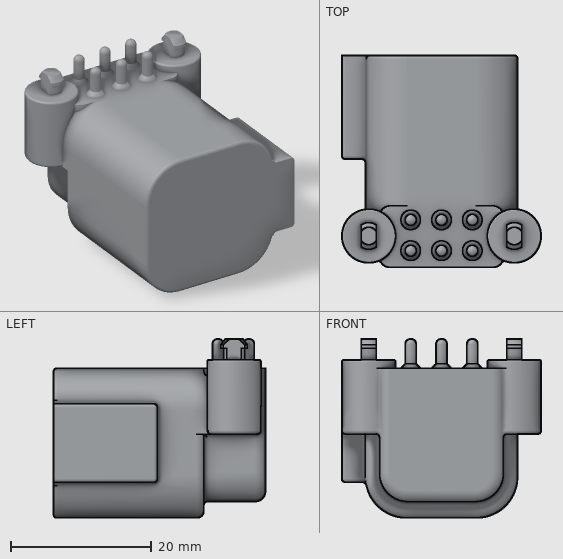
import cadquery as cq


overall_width = 28.49

shell_half_width = 10.88
shell_height = 21.39
shell_corner_radius = 5.9
shell_front = 8.8
shell_back = 30.3
shell_front_round = 1.0
shell_back_round = 0.5

block_half_width = 8.85
block_height = 19.05
block_corner_radius = 4.05
block_edge_round = 1.5

boss_radius = 3.85
boss_x = overall_width / 2 - boss_radius
boss_y = 4.5
boss_top = 1.2
boss_bottom = -9.4
boss_top_round = 0.3
boss_bottom_round = 0.5

peg_top = 4.2
peg_width = 2.2
peg_stem_radius = 1.5
peg_head_radius = 1.9
peg_tip_radius = 1.25
peg_head_bottom = 2.88
peg_head_shoulder = 3.34

pin_pitch = 4.4
pin_group_y = 4.6
pin_columns = 3
pin_rows = 2
pin_radius = 0.8
pin_top = 4.2
pin_tip_round = 0.75
pin_collar_radius = 1.4
pin_collar_height = 0.63

key_outer_x = -overall_width / 2
key_front = 15.47
key_height = 11.2
key_round = 0.5

cove_radius = 0.5

pick_margin = 0.1


def y_slab(profile, y_start, y_end):
    """Extrude an X-Z profile drawn on the XZ plane from y_start to y_end."""
    return profile.extrude(y_start - y_end).translate((0, y_start, 0))


def box_between(low, high):
    """Axis-aligned box from its lowest to its highest corner."""
    size = [b - a for a, b in zip(low, high)]
    return cq.Workplane("XY").box(*size, centered=False).translate(low)


def shell_slab(y_start, y_end):
    """Length of the shell's round-cornered rectangular section."""
    profile = cq.Workplane("XZ").center(0, -shell_height / 2).rect(2 * shell_half_width, shell_height)
    return y_slab(profile, y_start, y_end).edges("|Y").fillet(shell_corner_radius)


def block_slab(y_start, y_end):
    """Length of the terminal block's section: square at the top, round at the bottom."""
    profile = cq.Workplane("XZ").center(0, -block_height / 2).rect(2 * block_half_width, block_height)
    return y_slab(profile, y_start, y_end).edges("|Y and <Z").fillet(block_corner_radius)


def edges_centred_near(body, low, high):
    """Edges whose centres lie within pick_margin of the box from low to high."""
    low = [value - pick_margin for value in low]
    high = [value + pick_margin for value in high]
    return body.edges(cq.selectors.BoxSelector(low, high))


def make_shell():
    """Solid shell with a rounded rear rim."""
    return shell_slab(shell_front, shell_back).faces(">Y").edges().fillet(shell_back_round)


def make_neck():
    """Upper part of the shell section carried forward to the bosses."""
    upper = box_between(
        (-shell_half_width, boss_y, boss_bottom),
        (shell_half_width, shell_front, 0),
    )
    return shell_slab(boss_y, shell_front).intersect(upper)


def make_terminal_block():
    """Block with round front and back edges, joined squarely to the shell below its top."""
    block = block_slab(0, shell_front)
    block = block.faces("<Y or >Y").edges("not >Z").fillet(block_edge_round)
    root = block_slab(boss_y, shell_front).intersect(shell_slab(boss_y, shell_front))
    return block.union(root)


def make_boss(x):
    """Upright cylinder with rounded top and bottom edges."""
    base = cq.Workplane("XY", origin=(x, boss_y, boss_bottom))
    boss = base.circle(boss_radius).extrude(boss_top - boss_bottom)
    boss = boss.faces(">Z").edges().fillet(boss_top_round)
    return boss.faces("<Z").edges().fillet(boss_bottom_round)


def make_peg(x):
    """Mushroom-headed peg with two flat sides."""
    outline = [
        (0, 0),
        (peg_stem_radius, 0),
        (peg_stem_radius, peg_head_bottom),
        (peg_head_radius, peg_head_bottom),
        (peg_head_radius, peg_head_shoulder),
        (peg_tip_radius, peg_top),
        (0, peg_top),
    ]
    peg = cq.Workplane("XZ").polyline(outline).close().revolve(360, (0, 0), (0, 1))
    flats = box_between(
        (-peg_width / 2, -peg_head_radius, 0),
        (peg_width / 2, peg_head_radius, peg_top),
    )
    return peg.intersect(flats).translate((x, boss_y, 0))


def make_pin(x, y):
    """Round-tipped pin standing on a conical collar."""
    pin = cq.Workplane("XY").circle(pin_radius).extrude(pin_top).faces(">Z").edges().fillet(pin_tip_round)
    collar = cq.Solid.makeCone(pin_collar_radius, pin_radius, pin_collar_height)
    return pin.union(cq.Workplane(collar)).translate((x, y, 0))


def make_key():
    """Round-edged key with the coved strip of shell that it stands on."""
    key_top = (key_height - shell_height) / 2
    key_bottom = key_top - key_height
    key = box_between((key_outer_x, key_front, key_bottom), (0, shell_back, key_top))
    key = key.edges("<X or (<Y and (>Z or <Z))").edges("not >Y").fillet(key_round)
    keyed_shell = shell_slab(shell_front, shell_back).union(key)
    keyed_shell = edges_centred_near(
        keyed_shell,
        (-shell_half_width, key_front, key_bottom),
        (-shell_half_width + cove_radius, shell_back - 2 * pick_margin, key_top),
    ).fillet(cove_radius)
    strip = box_between(
        (key_outer_x, key_front - cove_radius, key_bottom - cove_radius),
        (0, shell_back, key_top + cove_radius),
    )
    return keyed_shell.intersect(strip)


def round_shell_front(body):
    """Round the shell's front rim where it stands clear below the neck."""
    lowest_point = (0, shell_front, -shell_height)
    rim = edges_centred_near(body, lowest_point, lowest_point)
    return rim.fillet(shell_front_round)


def blend_joints(body):
    """Coves where the terminal block meets the bosses, the neck and the shell front."""
    joints = edges_centred_near(
        body,
        (-block_half_width, shell_front, -block_height),
        (block_half_width, shell_front, boss_bottom - 2 * pick_margin),
    )
    for side in (-1, 1):
        wall_x = side * block_half_width
        under_boss = edges_centred_near(
            body,
            (wall_x, 0, boss_bottom),
            (wall_x, shell_front, boss_bottom),
        )
        joints = joints.add(under_boss)
    return joints.fillet(cove_radius)


result = make_shell().union(make_terminal_block()).union(make_neck())
for side in (-1, 1):
    result = result.union(make_boss(side * boss_x))
result = blend_joints(round_shell_front(result))

result = result.union(make_key())
for side in (-1, 1):
    result = result.union(make_peg(side * boss_x))
for column in range(pin_columns):
    for row in range(pin_rows):
        pin_x = (column - (pin_columns - 1) / 2) * pin_pitch
        pin_y = pin_group_y + (row - (pin_rows - 1) / 2) * pin_pitch
        result = result.union(make_pin(pin_x, pin_y))